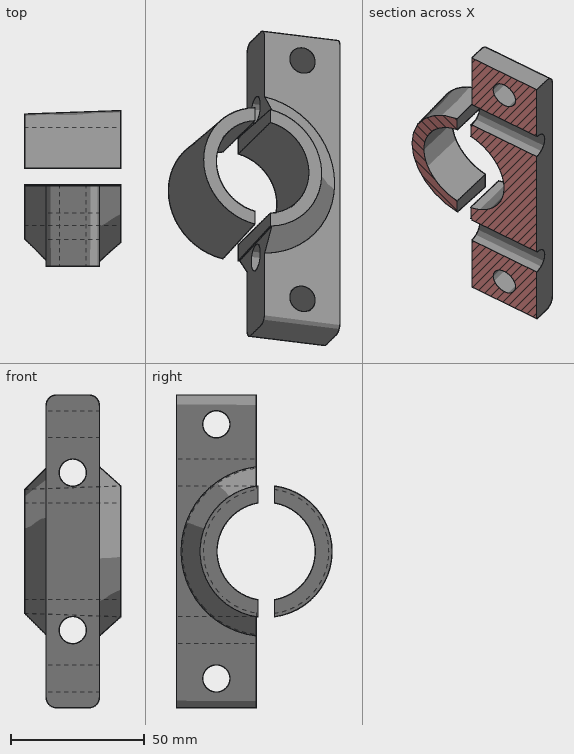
import cadquery as cq

clamp_length = 36.0
bore_diameter = 36.6
near_radius = 23.4
far_radius = 24.7
split_gap = 6.1

block_height = 116.9
block_width = 20.0
block_depth = 29.9
block_front = -33.5
corner_radius = 4.0
flare_near_radius = 31.3
flare_far_radius = 31.8

hole_diameter = 10.0
cross_hole_spacing = 94.9
mounting_hole_spacing = 58.8

half_length = clamp_length / 2
half_width = block_width / 2
half_gap = split_gap / 2
block_back = block_front + block_depth
block_middle = block_front + block_depth / 2


def revolve_about_bore(profile):
    """Revolve an (x, radius) outline a full turn about the bore axis."""
    return cq.Workplane("XY").polyline(profile).close().revolve(360, (0, 0, 0), (1, 0, 0))


def tapered_ring():
    """Full ring, tapered outside and before its bore is cut."""
    return revolve_about_bore([
        (-half_length, 0),
        (-half_length, near_radius),
        (half_length, far_radius),
        (half_length, 0),
    ])


def flare():
    """Conical shoulders that run from the ring ends out to the block sides."""
    return revolve_about_bore([
        (-half_length, 0),
        (-half_length, near_radius),
        (-half_width, flare_near_radius),
        (half_width, flare_far_radius),
        (half_length, far_radius),
        (half_length, 0),
    ])


def slab(y_low, y_high):
    """Box that keeps only the material between two Y positions."""
    depth = y_high - y_low
    return cq.Workplane("XY").box(clamp_length, depth, block_height).translate((0, y_low + depth / 2, 0))


def bore():
    return cq.Workplane("YZ").circle(bore_diameter / 2).extrude(half_length, both=True)


def make_cap():
    """Loose half ring on the +Y side."""
    return tapered_ring().intersect(slab(half_gap, far_radius)).cut(bore())


def mounting_block():
    block = cq.Workplane("XY").box(block_width, block_depth, block_height)
    return block.edges("|Y").fillet(corner_radius).translate((0, block_middle, 0))


def cross_holes():
    centres = [(block_middle, side * cross_hole_spacing / 2) for side in (-1, 1)]
    return cq.Workplane("YZ").pushPoints(centres).circle(hole_diameter / 2).extrude(half_width, both=True)


def mounting_holes():
    centres = [(0, side * mounting_hole_spacing / 2) for side in (-1, 1)]
    holes = cq.Workplane("XZ", origin=(0, block_back, 0)).pushPoints(centres)
    return holes.circle(hole_diameter / 2).extrude(block_depth)


def make_housing():
    """Mounting block with the flared half ring on its +Y side."""
    half_ring = tapered_ring().intersect(slab(block_front, -half_gap))
    half_flare = flare().intersect(slab(block_front, block_back))
    body = mounting_block().union(half_flare).union(half_ring)
    return body.cut(bore()).cut(cross_holes()).cut(mounting_holes())


housing = make_housing()
cap = make_cap()
result = cq.Compound.makeCompound([*housing.vals(), *cap.vals()])